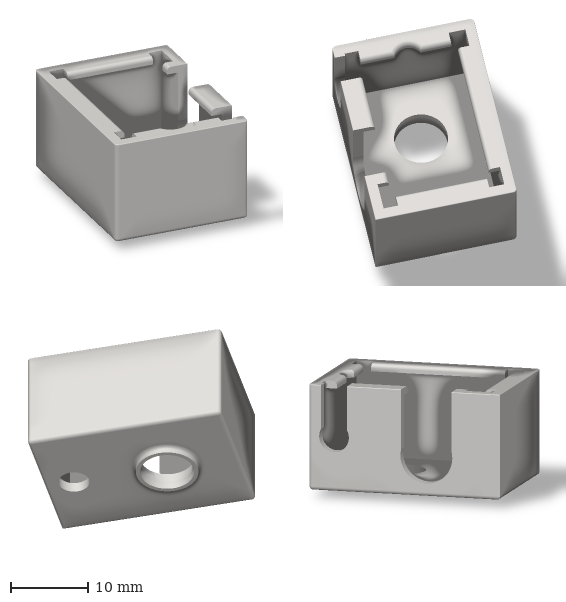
import cadquery as cq

LENGTH = 25.8
WIDTH = 18.8
HEIGHT = 13.9
WALL = 1.4
FLOOR = 1.4
EDGE_RADIUS = 0.5
RIM_RADIUS = 0.1

LIP_REACH = 1.5
LIP_THICKNESS = 1.0
LIP_RADIUS = 0.55
FRONT_LIP_SPAN = (3.95, 22.0)
LEFT_LIP_SPAN = (3.4, 15.5)
RIGHT_LIP_SPAN = (3.6, 15.6)
BACK_LIP_START = 5.0

LARGE_SLOT = (9.9, 6.8, 7.0, 5.2)
SMALL_SLOT = (22.35, 3.5, 4.0, 7.15)

PIN_DIAMETER = 4.0
PIN_Y = WIDTH / 2
FLOOR_PIN_X = 3.9
LIP_PIN_X = 21.95
BORE_DIAMETER = 7.0
BOSS_DIAMETER = 8.1
BOSS_HEIGHT = 1.0
BOSS_FILLET = 0.5
BOSS_X = 16.4
BOSS_Y = 9.07

HALF_ROOT_TWO = 0.5 ** 0.5
CAVITY_RIGHT = LENGTH - WALL
CAVITY_BACK = WIDTH - WALL


def block(x_span, y_span, z_span):
    """Box filling the given ranges of X, Y and Z."""
    size = [span[1] - span[0] for span in (x_span, y_span, z_span)]
    return cq.Workplane("XY").box(*size, centered=False).translate((x_span[0], y_span[0], z_span[0]))


def make_shell():
    """Open-topped box; all outer edges are rounded except the upright one at the back left."""
    box = block((0, LENGTH), (0, WIDTH), (0, HEIGHT))
    box = box.edges("|Z and (<Y or >X)").fillet(EDGE_RADIUS)
    box = box.faces("<Z").edges().fillet(EDGE_RADIUS)
    box = box.faces(">Z").edges().fillet(RIM_RADIUS)
    return box.cut(block((WALL, CAVITY_RIGHT), (WALL, CAVITY_BACK), (FLOOR, HEIGHT)))


def make_lip(x_span, y_span, free_side):
    """Lip flush with the rim, with its free upper edge rounded."""
    lip = block(x_span, y_span, (HEIGHT - LIP_THICKNESS, HEIGHT))
    return lip.faces(free_side).edges(">Z").fillet(LIP_RADIUS)


def make_lip_notch():
    """Cutter for the pin notch: a bore that flares in a quarter round at the rim."""
    radius = PIN_DIAMETER / 2
    flare = radius + LIP_RADIUS
    shoulder = HEIGHT - LIP_RADIUS
    diagonal = LIP_RADIUS * HALF_ROOT_TWO
    profile = (
        cq.Workplane("XZ")
        .moveTo(0, HEIGHT - LIP_THICKNESS)
        .lineTo(radius, HEIGHT - LIP_THICKNESS)
        .lineTo(radius, shoulder)
        .threePointArc((flare - diagonal, shoulder + diagonal), (flare, HEIGHT))
        .lineTo(0, HEIGHT)
        .close()
    )
    return profile.revolve(360, (0, 0, 0), (0, 1, 0)).translate((LIP_PIN_X, PIN_Y, 0))


def slot_edges(slot):
    """Left and right X of the straight part of a slot."""
    centre_x, width = slot[:2]
    return centre_x - width / 2, centre_x + width / 2


def make_slot(slot):
    """Cutter for a slot through the back wall that ends in a slightly wider bore."""
    centre_x, _, diameter, centre_z = slot
    back_span = (CAVITY_BACK - LIP_REACH, WIDTH)
    bore = (
        cq.Workplane("XZ", origin=(centre_x, WIDTH, centre_z))
        .circle(diameter / 2)
        .extrude(WALL)
    )
    return bore.union(block(slot_edges(slot), back_span, (centre_z, HEIGHT)))


def make_boss():
    """Round boss under the floor, flared by a concave fillet where it meets the box."""
    radius = BOSS_DIAMETER / 2
    flare = radius + BOSS_FILLET
    diagonal = BOSS_FILLET * HALF_ROOT_TWO
    profile = (
        cq.Workplane("XZ")
        .moveTo(0, -BOSS_HEIGHT)
        .lineTo(radius, -BOSS_HEIGHT)
        .lineTo(radius, -BOSS_FILLET)
        .threePointArc((flare - diagonal, -BOSS_FILLET + diagonal), (flare, 0))
        .lineTo(flare, FLOOR / 2)
        .lineTo(0, FLOOR / 2)
        .close()
    )
    return profile.revolve(360, (0, 0, 0), (0, 1, 0)).translate((BOSS_X, BOSS_Y, 0))


def make_floor_hole(x, y, diameter):
    """Cutter for a round hole through the floor and anything below it."""
    return (
        cq.Workplane("XY", origin=(x, y, -BOSS_HEIGHT))
        .circle(diameter / 2)
        .extrude(BOSS_HEIGHT + FLOOR)
    )


large_slot_left, large_slot_right = slot_edges(LARGE_SLOT)
small_slot_left = slot_edges(SMALL_SLOT)[0]
lip_back_span = (CAVITY_BACK - LIP_REACH, CAVITY_BACK)

result = make_shell()
result = result.union(make_boss())
result = result.union(make_lip(FRONT_LIP_SPAN, (WALL, WALL + LIP_REACH), ">Y"))
result = result.union(make_lip((WALL, WALL + LIP_REACH), LEFT_LIP_SPAN, ">X"))
result = result.union(make_lip((CAVITY_RIGHT - LIP_REACH, CAVITY_RIGHT), RIGHT_LIP_SPAN, "<X"))
result = result.union(make_lip((BACK_LIP_START, large_slot_left), lip_back_span, "<Y"))
result = result.union(make_lip((large_slot_right, small_slot_left), lip_back_span, "<Y"))
result = result.cut(make_lip_notch())
for slot in (LARGE_SLOT, SMALL_SLOT):
    result = result.cut(make_slot(slot))
result = result.cut(make_floor_hole(FLOOR_PIN_X, PIN_Y, PIN_DIAMETER))
result = result.cut(make_floor_hole(BOSS_X, BOSS_Y, BORE_DIAMETER))